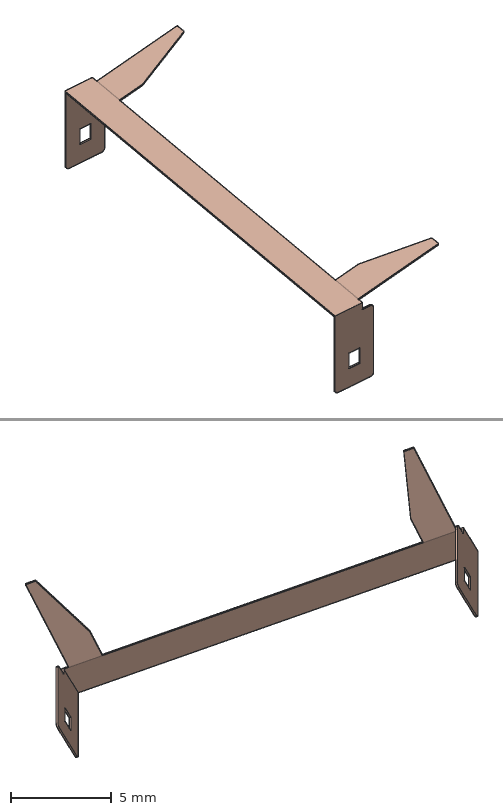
import cadquery as cq


total_width = 6.76
total_height = 6.07

strip_length = 22.0
strip_width = 1.72
sheet = 0.1

leg_sheet = 0.1
leg_height = 5.05
leg_width = 2.42
leg_notch_depth = 0.46
leg_corner_radius = 0.2

window_width = 0.68
window_height = 1.0
window_from_front = 0.88
window_from_bottom = 1.2

arm_inset = 0.36
arm_root_width = 1.85
arm_tip_width = 0.55
arm_straight_reach = 1.45

arm_rise = total_height - leg_height
half_length = strip_length / 2


def make_strip():
    """Flat strip joining the two legs."""
    return cq.Workplane("XY").box(
        strip_length, strip_width, sheet, centered=(True, False, False)
    ).translate((0, 0, -sheet))


def make_leg():
    """Left leg, with a notch beside the arm, rounded free corners and a window."""
    notch_z = -leg_notch_depth
    outline = [
        (0, 0),
        (strip_width, 0),
        (strip_width, notch_z),
        (leg_width, notch_z),
        (leg_width, -leg_height),
        (0, -leg_height),
    ]
    leg = cq.Workplane("YZ", origin=(-half_length, 0, 0)).polyline(outline).close().extrude(leg_sheet)
    leg = leg.edges("|X and (>Y or <Z)").fillet(leg_corner_radius)
    window = cq.Workplane("XY").box(
        leg_sheet, window_width, window_height, centered=False
    ).translate((-half_length, window_from_front, window_from_bottom - leg_height))
    return leg.cut(window)


def make_arm():
    """Left arm, tapered on its inner side and tilted up about the rear edge of the strip."""
    outer_x = -half_length + arm_inset
    plan = [
        (outer_x, 0),
        (outer_x + arm_root_width, 0),
        (outer_x + arm_root_width, strip_width + arm_straight_reach),
        (outer_x + arm_tip_width, total_width),
        (outer_x, total_width),
    ]
    side = [
        (strip_width, 0),
        (total_width, arm_rise),
        (total_width, arm_rise - sheet),
        (strip_width, -sheet),
    ]
    prism = cq.Workplane("XY", origin=(0, 0, -sheet)).polyline(plan).close().extrude(arm_rise + sheet)
    plate = cq.Workplane("YZ", origin=(-half_length, 0, 0)).polyline(side).close().extrude(half_length)
    return plate.intersect(prism)


left_parts = make_leg().union(make_arm())
result = make_strip().union(left_parts).union(left_parts.mirror("YZ"))